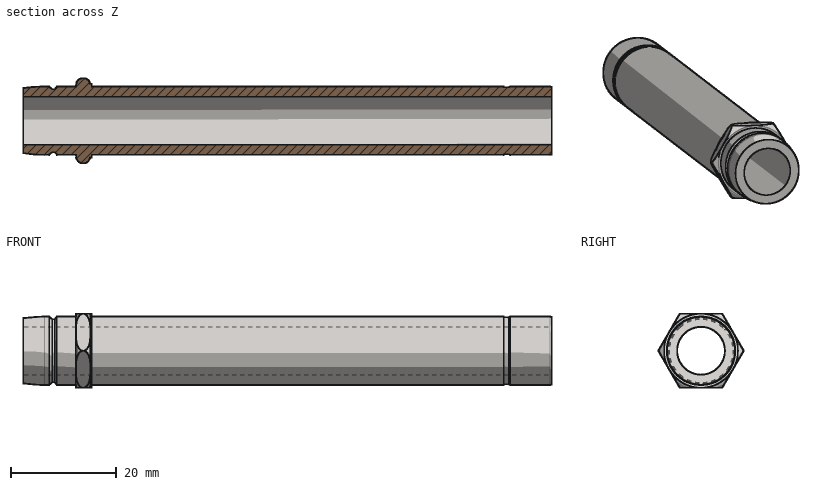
import cadquery as cq
import math

length = 100.0
tube_radius = 6.5
bore_radius = 4.5

nose_length = 4.0
nose_tip_radius = 6.2

nose_groove_start = 4.9
nose_groove_floor_start = 5.5
nose_groove_floor_end = 6.0
nose_groove_end = 6.4
nose_groove_floor_radius = 6.0

collar_start = 10.0
collar_width = 3.0
collar_sides = 6
across_flats = 14.0
collar_rim_width = 0.3
corner_radius = across_flats / 2 / math.cos(math.pi / collar_sides)

mark_groove_start = 90.9
mark_groove_floor_end = 91.8
mark_groove_end = 92.15
mark_groove_depth = 0.15

end_chamfer_length = 0.4
end_chamfer_depth = 0.1


def revolve_about_x(profile):
    """Close the profile along the axis and turn it a full circle about X."""
    return profile.close().revolve(360, (0, 0, 0), (1, 0, 0))


def make_tube():
    """Solid outer body: crowned nose, groove, plain barrel, marking groove and chamfered end."""
    mark_floor_radius = tube_radius - mark_groove_depth
    nose_drop = tube_radius - nose_tip_radius
    crown_arc_radius = (nose_length**2 + nose_drop**2) / (2 * nose_drop)
    profile = (
        cq.Workplane("XY")
        .lineTo(0, nose_tip_radius)
        .radiusArc((nose_length, tube_radius), crown_arc_radius)
        .lineTo(nose_groove_start, tube_radius)
        .lineTo(nose_groove_floor_start, nose_groove_floor_radius)
        .lineTo(nose_groove_floor_end, nose_groove_floor_radius)
        .lineTo(nose_groove_end, tube_radius)
        .lineTo(mark_groove_start, tube_radius)
        .lineTo(mark_groove_start, mark_floor_radius)
        .lineTo(mark_groove_floor_end, mark_floor_radius)
        .lineTo(mark_groove_end, tube_radius)
        .lineTo(length - end_chamfer_length, tube_radius)
        .lineTo(length, tube_radius - end_chamfer_depth)
        .lineTo(length, 0)
    )
    return revolve_about_x(profile)


def make_collar():
    """Hexagon with corners on the Y axis, turned to a rounded edge and a round rim at its +X side."""
    rim_radius = across_flats / 2
    rim_start = collar_start + collar_width - collar_rim_width
    collar_end = collar_start + collar_width
    crest = (collar_start + rim_start) / 2
    hexagon = (
        cq.Workplane("YZ")
        .workplane(offset=collar_start)
        .polygon(collar_sides, 2 * corner_radius)
        .extrude(collar_width)
    )
    turned_edge = (
        cq.Workplane("XY")
        .moveTo(collar_start, 0)
        .lineTo(collar_start, rim_radius)
        .threePointArc((crest, corner_radius), (rim_start, rim_radius))
        .lineTo(collar_end, rim_radius)
        .lineTo(collar_end, 0)
    )
    return hexagon.intersect(revolve_about_x(turned_edge))


bore = cq.Workplane("YZ").circle(bore_radius).extrude(length)
result = make_tube().union(make_collar()).cut(bore)